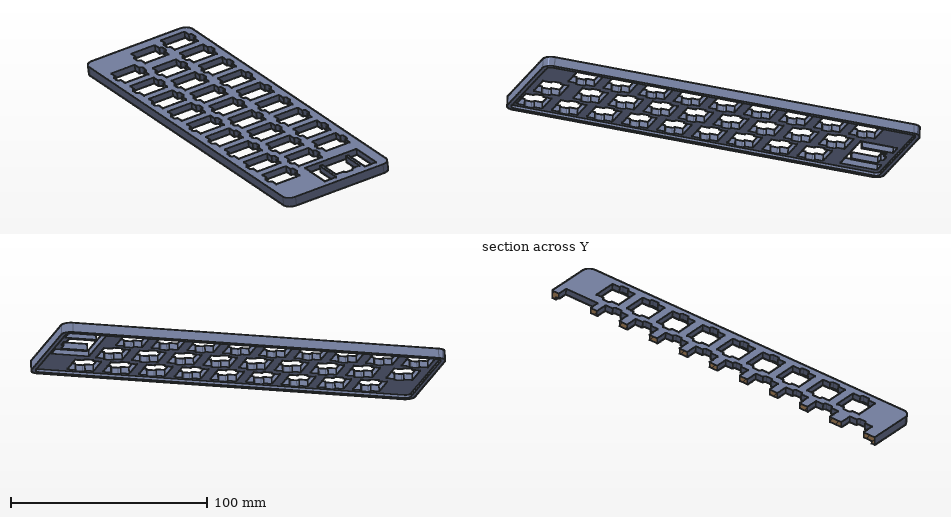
import cadquery as cq

key_pitch = 19.05
keys_per_row = 9
grid_width_keys = 10.5
grid_row_count = 3

case_margin = 2.2525
plate_width = grid_width_keys * key_pitch + 2 * case_margin
plate_depth = grid_row_count * key_pitch + 2 * case_margin
plate_thickness = 5.1
tilt_angle = 7.5

web_thickness = 3.5
rim_width = case_margin
recess_corner_radius = 2.5
corner_radius = recess_corner_radius + rim_width

switch_size = 14.0
notch_width = 5.1
notch_depth = 1.5
notch_corner_radius = 1.0

stabiliser_offset = 11.94
stabiliser_slot_width = 6.75
stabiliser_left_reach = 10.3
stabiliser_right_reach = 9.7

back_row_keys = list(range(keys_per_row))
middle_row_keys = [0.125] + [1.25 + i for i in range(keys_per_row - 1)]
front_row_keys = [0.75 + i for i in range(keys_per_row)]
tall_key = 9.375

first_key_x = (key_pitch - grid_width_keys * key_pitch) / 2
back_row_y = (grid_row_count - 1) / 2 * key_pitch
tall_key_y = back_row_y - key_pitch / 2


def key_x(position):
    return first_key_x + position * key_pitch


def make_plate():
    plate = cq.Workplane("XY").box(plate_width, plate_depth, plate_thickness)
    return plate.edges("|Z").fillet(corner_radius)


def recess_underside(plate):
    recess = (
        cq.Workplane("XY", origin=(0, 0, -plate_thickness / 2))
        .rect(plate_width - 2 * rim_width, plate_depth - 2 * rim_width)
        .extrude(plate_thickness - web_thickness)
        .edges("|Z")
        .fillet(recess_corner_radius)
    )
    return plate.cut(recess)


def box_cutter(x_min, x_max, y_min, y_max):
    """Rectangular cutter that reaches through the whole plate."""
    outline = cq.Workplane("XY").center((x_min + x_max) / 2, (y_min + y_max) / 2)
    return outline.rect(x_max - x_min, y_max - y_min).extrude(plate_thickness, both=True)


def switch_cutter():
    edge = switch_size / 2
    tip = edge + notch_depth
    side = notch_width / 2
    notches = box_cutter(-side, side, -tip, tip).edges("|Z").fillet(notch_corner_radius)
    return box_cutter(-edge, edge, -edge, edge).union(notches)


def tall_key_cutter():
    """Turned switch opening between two stabiliser slots, joined by a channel on the left."""
    edge = switch_size / 2
    slot_inner = stabiliser_offset - stabiliser_slot_width / 2
    slot_outer = stabiliser_offset + stabiliser_slot_width / 2
    left = -stabiliser_left_reach
    right = stabiliser_right_reach
    switch = switch_cutter().rotate((0, 0, 0), (0, 0, 1), 90)
    channel = box_cutter(left, -edge, -slot_outer, slot_outer)
    back_slot = box_cutter(left, right, slot_inner, slot_outer)
    front_slot = box_cutter(left, right, -slot_outer, -slot_inner)
    return switch.union(channel).union(back_slot).union(front_slot)


def cut_switch_rows(plate):
    cutter = switch_cutter()
    for row, keys in enumerate([back_row_keys, middle_row_keys, front_row_keys]):
        row_y = back_row_y - row * key_pitch
        for position in keys:
            plate = plate.cut(cutter.translate((key_x(position), row_y, 0)))
    return plate


plate = recess_underside(make_plate())
plate = cut_switch_rows(plate)
plate = plate.cut(tall_key_cutter().translate((key_x(tall_key), tall_key_y, 0)))

result = plate.rotate((0, 0, 0), (1, 0, 0), tilt_angle)